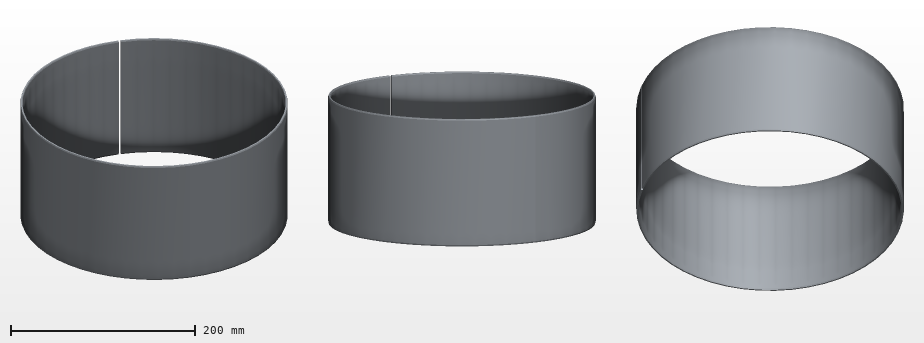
import cadquery as cq

outer_diameter = 290.0
height = 140.0
wall = 2.5
slit_width = 2.5
bevel_height = 1.5
bevel_depth = 0.5

outer_radius = outer_diameter / 2
inner_radius = outer_radius - wall


def make_ring():
    """Thin ring whose outer and inner rims are bevelled at the top and bottom."""
    half_height = height / 2
    bevel_start = half_height - bevel_height
    outer_rim = outer_radius - bevel_depth
    inner_rim = inner_radius + bevel_depth
    wall_section = [
        (inner_rim, -half_height),
        (outer_rim, -half_height),
        (outer_radius, -bevel_start),
        (outer_radius, bevel_start),
        (outer_rim, half_height),
        (inner_rim, half_height),
        (inner_radius, bevel_start),
        (inner_radius, -bevel_start),
    ]
    return cq.Workplane("XZ").polyline(wall_section).close().revolve(360, (0, 0), (0, 1))


def make_slit():
    """Cutter through the wall at -X, with one face on the plane Y = 0."""
    return (
        cq.Workplane("XY")
        .box(outer_radius, slit_width, height, centered=(False, False, True))
        .translate((-outer_radius, 0, 0))
    )


result = make_ring().cut(make_slit())